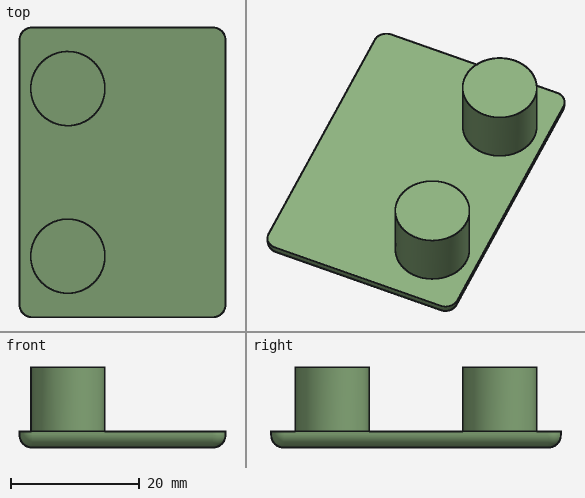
import cadquery as cq

plate_width = 32.0
plate_length = 45.0
plate_thickness = 2.5
edge_radius = 2.0

total_height = 12.5
peg_diameter = 11.5
peg_spacing = 26.0
peg_side_offset = 7.5
peg_height = total_height - plate_thickness
peg_x = peg_side_offset - plate_width / 2


def rounded_plate():
    """Plate with a flat top, spherical lower corners and a rounded lower rim."""
    block = cq.Workplane("XY").box(
        plate_width, plate_length, plate_thickness, centered=(True, True, False)
    )
    return block.edges("|Z or <Z").fillet(edge_radius)


def pegs():
    """Two equal round pegs in a row along Y."""
    return (
        cq.Workplane("XY", origin=(peg_x, 0, plate_thickness))
        .pushPoints([(0, -peg_spacing / 2), (0, peg_spacing / 2)])
        .circle(peg_diameter / 2)
        .extrude(peg_height)
    )


result = rounded_plate().union(pegs())